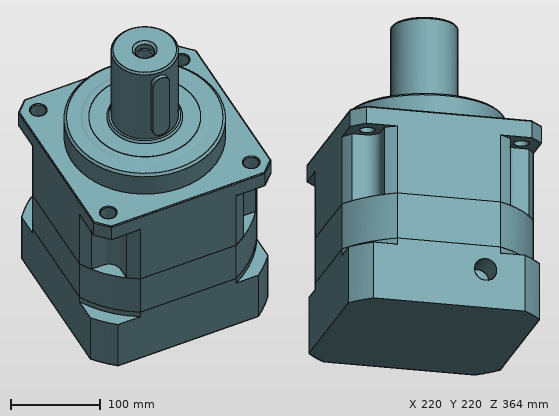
import cadquery as cq
import math

body_width = 220.0
half_width = body_width / 2
overall_height = 364.0

ledge_z = 66.0
ring_bottom_z = 73.0
ring_top_z = 126.3
flange_bottom_z = 205.3
flange_top_z = 225.5
pilot_top_z = 256.0
collar_top_z = 259.5

adapter_corner_radius = 140.0
ring_corner_radius = 125.0

flange_corner_chamfer = 15.0
flange_edge_chamfer = 1.0
bolt_offset = 88.5
bolt_hole_radius = 8.7
bolt_hole_chamfer = 1.0
bolt_chamfer_angle = 90.0

pocket_wall = 72.5
pocket_corner_radius = 14.5

pilot_radius = 90.0
pilot_chamfer_width = 3.0
pilot_chamfer_height = 2.5
seal_base_radius = 71.5
seal_top_radius = 68.5
seal_rise = 0.7
seal_step_radius = 62.2
seal_step = 0.5
collar_radius = 42.2
collar_taper = 2.2

shaft_radius = 37.5
shaft_chamfer = 2.2
key_width = 20.0
key_length = 90.5
key_top_z = 357.0
key_outer_x = 42.0
key_inner_x = 32.8

countersink_radius = 14.0
counterbore_radius = 11.0
counterbore_depth = 9.5
drill_radius = 8.7
drill_depth = 52.8
countersink_angle = 90.0
drill_point_angle = 118.0

access_radius = 12.7
access_y = -42.0
access_z = 45.0
access_end_radius = 38.0


def square_block(bottom_z, top_z):
    """Square block centred on the Z axis."""
    return (
        cq.Workplane("XY", origin=(0, 0, bottom_z))
        .rect(body_width, body_width)
        .extrude(top_z - bottom_z)
    )


def round_cornered_block(bottom_z, top_z, corner_radius):
    """Square block whose corners are turned to a radius about the Z axis."""
    turned = cq.Workplane("XY", origin=(0, 0, bottom_z)).circle(corner_radius).extrude(top_z - bottom_z)
    return square_block(bottom_z, top_z).intersect(turned)


def revolve_profile(points):
    """Turn a closed (radius, z) profile about the Z axis."""
    return cq.Workplane("XZ").polyline(points).close().revolve(360, (0, 0, 0), (0, 1, 0))


def make_corner_pocket():
    """Square relief for the +X +Y corner, with its inner corner rounded."""
    size = half_width - pocket_wall
    return (
        cq.Workplane("XY", origin=(pocket_wall, pocket_wall, ring_top_z))
        .rect(size, size, centered=False)
        .extrude(flange_bottom_z - ring_top_z)
        .edges("|Z and <X and <Y")
        .fillet(pocket_corner_radius)
    )


def make_relieved_body():
    body = round_cornered_block(ring_top_z, flange_bottom_z, ring_corner_radius)
    pocket = make_corner_pocket()
    for quarter in range(4):
        body = body.cut(pocket.rotate((0, 0, 0), (0, 0, 1), 90 * quarter))
    return body


def make_flange():
    flange = (
        square_block(flange_bottom_z, flange_top_z)
        .edges("|Z")
        .chamfer(flange_corner_chamfer)
        .faces(">Z")
        .edges()
        .chamfer(flange_edge_chamfer)
    )
    bolt_points = [(sx * bolt_offset, sy * bolt_offset) for sx in (-1, 1) for sy in (-1, 1)]
    return (
        flange.faces(">Z")
        .workplane(origin=(0, 0, flange_top_z))
        .pushPoints(bolt_points)
        .cskHole(2 * bolt_hole_radius, 2 * (bolt_hole_radius + bolt_hole_chamfer), bolt_chamfer_angle)
    )


def make_turned_end():
    """Pilot, seal plate, collar and shaft as one turned shape."""
    seal_z = pilot_top_z + seal_rise
    seal_step_z = seal_z + seal_step
    return revolve_profile([
        (0, flange_top_z),
        (pilot_radius, flange_top_z),
        (pilot_radius, pilot_top_z - pilot_chamfer_height),
        (pilot_radius - pilot_chamfer_width, pilot_top_z),
        (seal_base_radius, pilot_top_z),
        (seal_top_radius, seal_z),
        (seal_step_radius, seal_z),
        (seal_step_radius, seal_step_z),
        (collar_radius, seal_step_z),
        (collar_radius - collar_taper, collar_top_z),
        (shaft_radius, collar_top_z),
        (shaft_radius, overall_height - shaft_chamfer),
        (shaft_radius - shaft_chamfer, overall_height),
        (0, overall_height),
    ])


def make_key():
    """Round-ended key standing out of the +X side of the shaft."""
    return (
        cq.Workplane("YZ", origin=(key_inner_x, 0, key_top_z - key_length / 2))
        .slot2D(key_length, key_width, 90)
        .extrude(key_outer_x - key_inner_x)
    )


def make_centre_hole():
    """Countersunk, counterbored and drilled hole in the shaft end."""
    countersink_depth = (countersink_radius - counterbore_radius) / math.tan(math.radians(countersink_angle / 2))
    point_depth = drill_radius / math.tan(math.radians(drill_point_angle / 2))
    return revolve_profile([
        (0, overall_height),
        (countersink_radius, overall_height),
        (counterbore_radius, overall_height - countersink_depth),
        (counterbore_radius, overall_height - counterbore_depth),
        (drill_radius, overall_height - counterbore_depth),
        (drill_radius, overall_height - drill_depth),
        (0, overall_height - drill_depth - point_depth),
    ])


def make_housing():
    return (
        make_relieved_body()
        .union(make_flange())
        .union(make_turned_end())
        .union(make_key())
        .cut(make_centre_hole())
    )


def make_ring():
    return round_cornered_block(ring_bottom_z, ring_top_z, ring_corner_radius)


def make_access_hole():
    drill = (
        cq.Workplane("YZ", origin=(-half_width, access_y, access_z))
        .circle(access_radius)
        .extrude(access_end_radius)
    )
    round_end = (
        cq.Workplane("XY", origin=(-half_width, access_y, access_z - access_radius))
        .circle(access_end_radius)
        .extrude(2 * access_radius)
    )
    return drill.intersect(round_end)


def make_adapter():
    base = round_cornered_block(0, ledge_z, adapter_corner_radius)
    top = round_cornered_block(ledge_z, ring_bottom_z, ring_corner_radius)
    return base.union(top).cut(make_access_hole())


housing = make_housing()
ring = make_ring()
adapter = make_adapter()

result = cq.Compound.makeCompound([housing.val(), ring.val(), adapter.val()])